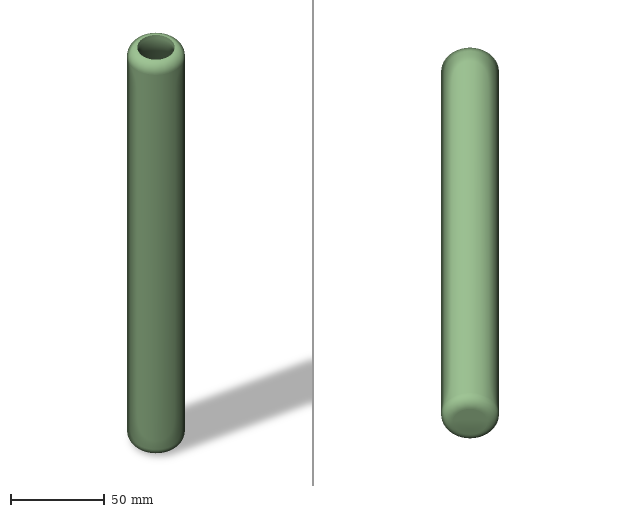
import cadquery as cq
import math

rod_diameter = 31.0
rod_length = 280.5
end_radius = 6.0

bore_diameter = 20.0
bore_depth = 40.0
drill_point_angle = 118.0


def make_rod():
    """Solid round bar with both ends rounded over."""
    rod = cq.Workplane("XY").circle(rod_diameter / 2).extrude(rod_length)
    return rod.edges("%CIRCLE").fillet(end_radius)


def make_bore():
    """Revolved cutter: straight bore ending in a conical drill point."""
    bore_radius = bore_diameter / 2
    point_height = bore_radius / math.tan(math.radians(drill_point_angle / 2))
    bore_floor = rod_length - bore_depth
    return (
        cq.Workplane("XZ")
        .moveTo(0, rod_length)
        .lineTo(bore_radius, rod_length)
        .lineTo(bore_radius, bore_floor)
        .lineTo(0, bore_floor - point_height)
        .close()
        .revolve(360, (0, 0, 0), (0, 1, 0))
    )


result = make_rod().cut(make_bore())